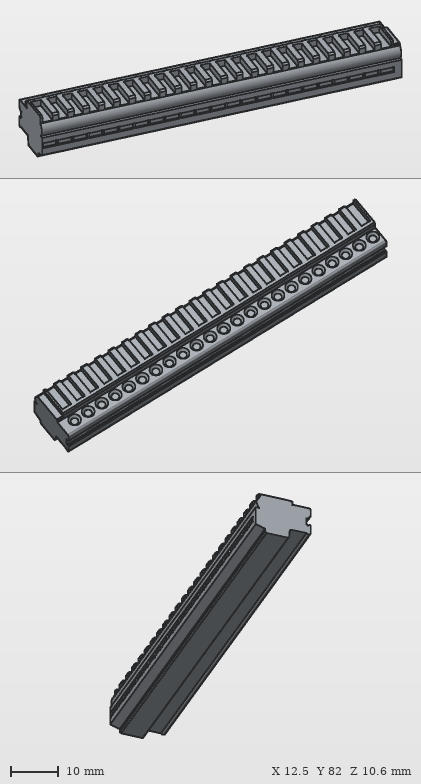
import cadquery as cq
import math

length = 82.0
width = 12.5
height = 10.6

pole_count = 23
end_step_length = 1.55
pitch = (length - end_step_length) / pole_count
first_pole_y = -length / 2 + pitch / 2

ledge_z = 8.6
ledge_round = 0.5
tower_left = 4.1
tower_right = 11.5
tower_bevel_x = 0.25
tower_bevel_z = 0.6
tower_chamfer = 0.4

groove_depth = 1.0
groove_bottom_z = 4.6
groove_top_z = 6.0
upper_jaw_x = 0.2
upper_jaw_z = 6.6
upper_jaw_bevel = 0.2
upper_jaw_inner_x = 0.65
lower_jaw_x = 0.3
lower_jaw_z = 4.5
lower_jaw_bevel = 0.2
undercut_x = 0.65
undercut_z = 4.2

arm_z = 2.2
arm_lip_z = 2.0
arm_lip_width = 1.0
arm_corner_round = 0.5
arm_right = 4.4
foot_neck_x = 4.7
foot_neck_z = 2.05
foot_left = 4.9
foot_right = 10.3
foot_chamfer = 0.3
foot_top_z = 1.0

bulge_top_z = 8.85
bulge_mid_x = 12.2
bulge_mid_z = 7.55
bulge_bottom_x = 11.65
bulge_bottom_z = 5.9
nose_bottom_z = 1.6

slot_width = 2.05
slot_left = 5.2
slot_depth = 1.5
end_step_depth = 1.15
end_step_bevel = 0.25
end_rib = 0.5

hole_x = 2.55
hole_top_diameter = 2.7
hole_bottom_diameter = 1.6
hole_depth = 0.65

entry_width = 3.1
entry_height = 1.2
entry_depth = 0.5
entry_z = 3.9

diagonal = math.sqrt(0.5)

slot_floor_z = height - slot_depth
step_y = length / 2 - end_step_length
pole_ys = [first_pole_y + i * pitch for i in range(pole_count)]


def box(x_min, x_max, y_min, y_max, z_min, z_max):
    """Axis-aligned box given by its limits."""
    return cq.Workplane("XY").box(
        x_max - x_min, y_max - y_min, z_max - z_min, centered=False
    ).translate((x_min, y_min, z_min))


def make_body():
    """Constant cross-section of the block, extruded along its length."""
    profile = (
        cq.Workplane("XZ", origin=(0, length / 2, 0))
        .moveTo(foot_left + foot_chamfer / 2, 0)
        .lineTo(foot_right - foot_chamfer, 0)
        .lineTo(foot_right, foot_chamfer)
        .lineTo(foot_right, foot_top_z)
        .lineTo(width, nose_bottom_z)
        .lineTo(width, bulge_bottom_z)
        .lineTo(bulge_bottom_x, bulge_bottom_z)
        .threePointArc((bulge_mid_x, bulge_mid_z), (tower_right, bulge_top_z))
        .lineTo(tower_right, height - tower_chamfer)
        .lineTo(tower_right - tower_chamfer, height)
        .lineTo(tower_left + tower_bevel_x, height)
        .lineTo(tower_left, height - tower_bevel_z)
        .lineTo(tower_left, ledge_z)
        .lineTo(ledge_round, ledge_z)
        .threePointArc(
            (ledge_round * (1 - diagonal), ledge_z - ledge_round * (1 - diagonal)),
            (0, ledge_z - ledge_round),
        )
        .lineTo(0, upper_jaw_z + upper_jaw_bevel)
        .lineTo(upper_jaw_x, upper_jaw_z)
        .lineTo(upper_jaw_inner_x, groove_top_z)
        .lineTo(groove_depth, groove_top_z)
        .lineTo(groove_depth, groove_bottom_z)
        .lineTo(undercut_x, undercut_z)
        .lineTo(lower_jaw_x, lower_jaw_z)
        .lineTo(0, lower_jaw_z - lower_jaw_bevel)
        .lineTo(0, arm_lip_z + arm_corner_round)
        .threePointArc(
            (arm_corner_round * (1 - diagonal), arm_lip_z + arm_corner_round * (1 - diagonal)),
            (arm_corner_round, arm_lip_z),
        )
        .tangentArcPoint((arm_lip_width, arm_z), relative=False)
        .lineTo(arm_right, arm_z)
        .lineTo(foot_neck_x, foot_neck_z)
        .lineTo(foot_left, foot_chamfer)
        .close()
    )
    return profile.extrude(length)


def slot_cutter(index):
    """Slot across the tower; the outermost slots reach to a thin end rib."""
    y_min = pole_ys[index] - slot_width / 2
    y_max = pole_ys[index] + slot_width / 2
    if index == 0:
        y_min = -length / 2 + end_rib
    if index == pole_count - 1:
        y_max = step_y - end_rib
    return box(slot_left, width, y_min, y_max, slot_floor_z, height)


def end_step_cutter():
    """Step in the tower at the +Y end, leaving bevelled edges on its floor."""
    floor_z = height - end_step_depth
    return (
        cq.Workplane("XZ", origin=(0, length / 2, 0))
        .moveTo(tower_left, height)
        .lineTo(tower_left, floor_z - end_step_bevel)
        .lineTo(tower_left + end_step_bevel, floor_z)
        .lineTo(tower_right - end_step_bevel, floor_z)
        .lineTo(tower_right, floor_z - end_step_bevel)
        .lineTo(tower_right, height)
        .close()
        .extrude(end_step_length)
    )


def hole_cutter(y):
    """Conical screw hole sunk into the ledge."""
    return (
        cq.Workplane("XY", origin=(hole_x, y, ledge_z))
        .circle(hole_top_diameter / 2)
        .workplane(offset=-hole_depth)
        .circle(hole_bottom_diameter / 2)
        .loft(ruled=True)
    )


def entry_cutter(y):
    """Shallow wire entry in the +X side, behind a thin end wall at the -Y end."""
    return box(
        width - entry_depth, width,
        y - entry_width / 2, y + entry_width / 2,
        entry_z - entry_height / 2, entry_z + entry_height / 2,
    )


body = make_body()
body = body.cut(end_step_cutter())
for index, pole_y in enumerate(pole_ys):
    body = body.cut(slot_cutter(index))
    body = body.cut(hole_cutter(pole_y))
    body = body.cut(entry_cutter(pole_y))

result = body.translate((-width / 2, 0, -height / 2))